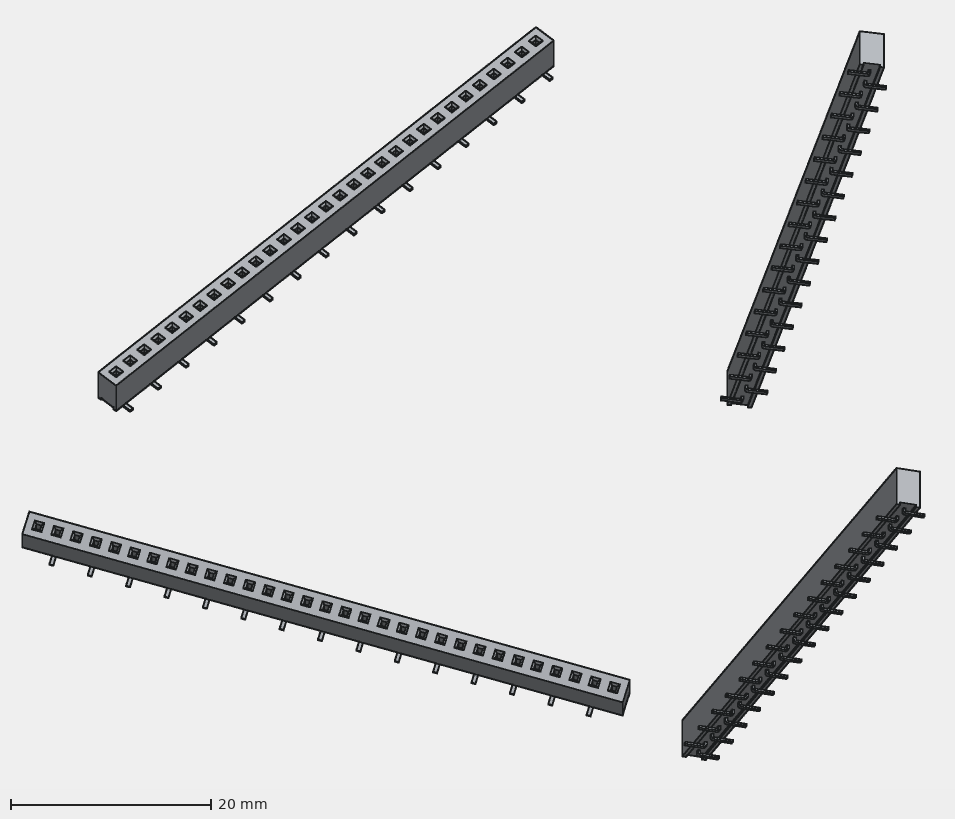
import cadquery as cq

contact_count = 31
pitch = 2.0
lead_span = 4.3
lead_width = 0.42
lead_thickness = 0.22
bend_outer_radius = 0.3
bend_inner_radius = bend_outer_radius - lead_thickness

total_height = 4.3
standoff = 0.3
end_margin = 0.3
housing_width = 2.5
housing_length = contact_count * pitch + 2 * end_margin
housing_height = total_height - standoff

foot_width = 0.4
groove_depth = 0.25
groove_width = housing_width - 2 * foot_width

mouth_size = 1.0
socket_size = 0.5
funnel_depth = (mouth_size - socket_size) / 2
socket_depth = 3.25
socket_floor = total_height - socket_depth

first_contact_y = -(contact_count - 1) * pitch / 2
contact_positions = [(0, first_contact_y + i * pitch) for i in range(contact_count)]


def make_housing():
    """Rectangular bar with a full-length groove in its underside."""
    bar = (
        cq.Workplane("XY")
        .workplane(offset=standoff)
        .rect(housing_width, housing_length)
        .extrude(housing_height)
    )
    groove = (
        cq.Workplane("XY")
        .workplane(offset=standoff)
        .rect(groove_width, housing_length)
        .extrude(groove_depth)
    )
    return bar.cut(groove)


def make_sockets():
    """Cutting bodies: square blind holes, each with a tapered lead-in."""
    holes = (
        cq.Workplane("XY")
        .workplane(offset=total_height)
        .pushPoints(contact_positions)
        .rect(socket_size, socket_size)
        .extrude(-socket_depth)
    )
    funnel = (
        cq.Workplane("XY")
        .workplane(offset=total_height)
        .rect(mouth_size, mouth_size)
        .workplane(offset=-funnel_depth)
        .rect(socket_size, socket_size)
        .loft(combine=True)
    )
    funnels = [funnel.val().translate(cq.Vector(x, y, 0)) for x, y in contact_positions]
    return holes.add(funnels).combine()


def make_lead():
    """Bent strip: a stem from the socket floor down, turned outward to +X on the mounting plane."""
    half = lead_thickness / 2
    return (
        cq.Workplane("XZ")
        .moveTo(-half, socket_floor)
        .lineTo(-half, bend_outer_radius)
        .radiusArc((-half + bend_outer_radius, 0), -bend_outer_radius)
        .lineTo(lead_span / 2, 0)
        .lineTo(lead_span / 2, lead_thickness)
        .lineTo(half + bend_inner_radius, lead_thickness)
        .radiusArc((half, bend_outer_radius), bend_inner_radius)
        .lineTo(half, socket_floor)
        .close()
        .extrude(lead_width / 2, both=True)
    )


def place_leads():
    """Leads along the row, alternating sides and starting and ending on +X."""
    right_lead = make_lead().val()
    left_lead = right_lead.mirror("YZ")
    leads = []
    for index, (x, y) in enumerate(contact_positions):
        lead = right_lead if index % 2 == 0 else left_lead
        leads.append(lead.translate(cq.Vector(x, y, 0)))
    return leads


housing = make_housing().cut(make_sockets())
header = housing.val().fuse(*place_leads())
result = cq.Workplane("XY").newObject(header.Solids())